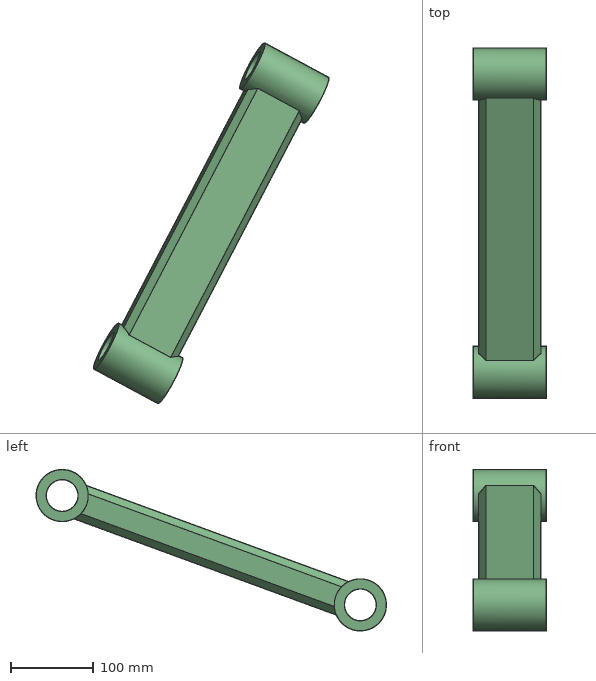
import cadquery as cq
import math

tube_length = 89.0
tube_diameter = 63.5
bore_diameter = 38.3

overall_length = 425.0
overall_height = 196.0
span_y = overall_length - tube_diameter
span_z = overall_height - tube_diameter
center_distance = math.hypot(span_y, span_z)
tilt = math.degrees(math.atan2(span_z, span_y))

beam_width = 75.5
beam_depth = 43.5
beam_chamfer = 9.0


def cylinder_at(y, diameter):
    """Cylinder along X, centred on x = 0 at the given y."""
    return (
        cq.Workplane("YZ", origin=(-tube_length / 2, 0, 0))
        .center(y, 0)
        .circle(diameter / 2)
        .extrude(tube_length)
    )


beam = (
    cq.Workplane("XY")
    .box(beam_width, center_distance, beam_depth)
    .edges("|Y")
    .chamfer(beam_chamfer)
)

tube_positions = (-center_distance / 2, center_distance / 2)
link = beam
for y in tube_positions:
    link = link.union(cylinder_at(y, tube_diameter))
for y in tube_positions:
    link = link.cut(cylinder_at(y, bore_diameter))

result = link.rotate((0, 0, 0), (1, 0, 0), tilt)